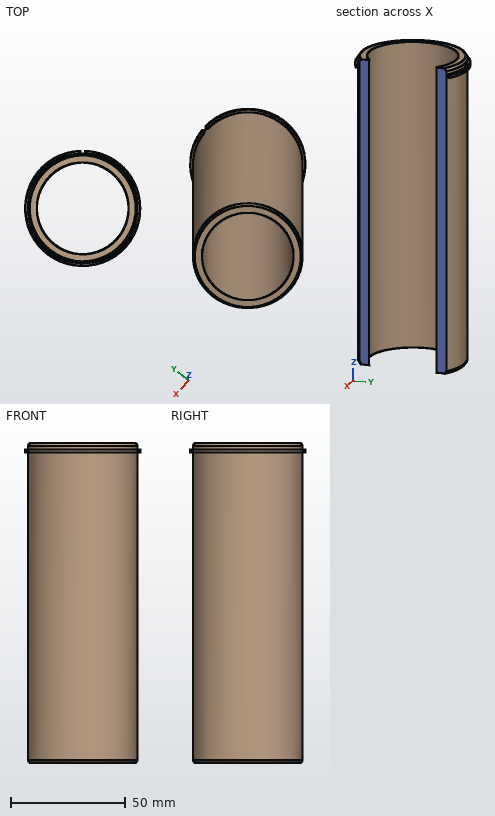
import cadquery as cq

sleeve_length = 140.0
sleeve_diameter = 48.0
bore_diameter = 40.0
chamfer_width = 0.8
chamfer_height = 1.3

ring_diameter = 50.4
ring_thickness = 1.3
ring_top_offset = 3.0
ring_gap = 2.0

sleeve_radius = sleeve_diameter / 2
bore_radius = bore_diameter / 2
ring_bottom = sleeve_length - ring_top_offset - ring_thickness


def make_sleeve():
    """Plain tube with both outer end edges chamfered, standing on Z = 0."""
    end_radius = sleeve_radius - chamfer_width
    wall_profile = [
        (bore_radius, 0),
        (end_radius, 0),
        (sleeve_radius, chamfer_height),
        (sleeve_radius, sleeve_length - chamfer_height),
        (end_radius, sleeve_length),
        (bore_radius, sleeve_length),
    ]
    return cq.Workplane("XZ").polyline(wall_profile).close().revolve(360, (0, 0), (0, 1))


def make_retaining_ring():
    """Thin ring seated on the sleeve's outer surface, split on the +Y side."""
    ring_plane = cq.Workplane("XY").workplane(offset=ring_bottom)
    ring = ring_plane.circle(ring_diameter / 2).circle(sleeve_radius).extrude(ring_thickness)
    gap_cutter = ring_plane.rect(ring_gap, ring_diameter).extrude(ring_thickness)
    return ring.cut(gap_cutter.translate((0, ring_diameter / 2, 0)))


sleeve = make_sleeve()
retaining_ring = make_retaining_ring()

result = cq.Compound.makeCompound([sleeve.val(), retaining_ring.val()])